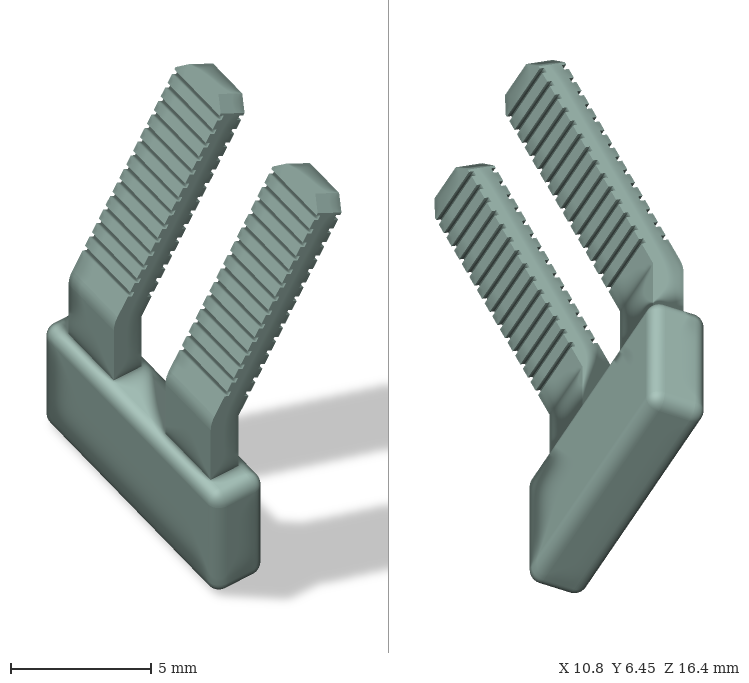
import cadquery as cq
import math

overall_depth = 6.45
overall_height = 16.4

base_length = 10.8
base_depth = 2.2
base_height = 5.0
base_fillet = 0.5

prong_width = 2.8
prong_thickness = 1.2
prong_spacing = 6.0
bend_angle = 30.0
tip_chamfer = 0.5

groove_count = 14
groove_pitch = 0.6
groove_width = 0.2
groove_depth = 0.2
first_groove_from_tip = 0.6

bend_sin = math.sin(math.radians(bend_angle))
bend_cos = math.cos(math.radians(bend_angle))
prong_front = (base_depth - prong_thickness) / 2
pivot_y = prong_front + prong_thickness
arm_length = (overall_depth - pivot_y) / bend_sin
pivot_z = overall_height - prong_thickness * bend_sin - arm_length * bend_cos


def make_base():
    block = cq.Workplane("XY").box(
        base_length, base_depth, base_height, centered=(True, False, False)
    )
    return block.edges().fillet(base_fillet)


def make_stem():
    """Upright stem and rounded outer bend, centred on X and rooted in the base."""
    half_angle = math.radians(bend_angle / 2)
    arc_middle = (
        pivot_y - prong_thickness * math.cos(half_angle),
        pivot_z + prong_thickness * math.sin(half_angle),
    )
    arc_end = (pivot_y - prong_thickness * bend_cos, pivot_z + prong_thickness * bend_sin)
    root_z = base_height / 2
    profile = (
        cq.Workplane("YZ")
        .moveTo(pivot_y, root_z)
        .lineTo(prong_front, root_z)
        .lineTo(prong_front, pivot_z)
        .threePointArc(arc_middle, arc_end)
        .lineTo(pivot_y, pivot_z)
        .close()
    )
    return profile.extrude(prong_width / 2, both=True)


def make_groove_cutters():
    """Bars that cut the grooves into both faces of an upright arm."""
    groove_centres = []
    for index in range(groove_count):
        distance_from_tip = first_groove_from_tip + index * groove_pitch + groove_width / 2
        for face_y in (-prong_thickness, 0):
            groove_centres.append((face_y, arm_length - distance_from_tip))
    return (
        cq.Workplane("YZ")
        .pushPoints(groove_centres)
        .rect(2 * groove_depth, groove_width)
        .extrude(prong_width, both=True)
    )


def make_arm():
    """Arm built upright with its back lower edge on the X axis, then tilted into place."""
    arm = (
        cq.Workplane("XY")
        .box(prong_width, prong_thickness, arm_length, centered=(True, False, False))
        .translate((0, -prong_thickness, 0))
    )
    arm = arm.faces(">Z").edges("|Y").chamfer(tip_chamfer)
    arm = arm.cut(make_groove_cutters())
    return arm.rotate((0, 0, 0), (1, 0, 0), -bend_angle).translate((0, pivot_y, pivot_z))


prong = make_stem().union(make_arm())
result = make_base()
for side in (-1, 1):
    result = result.union(prong.translate((side * prong_spacing / 2, 0, 0)))